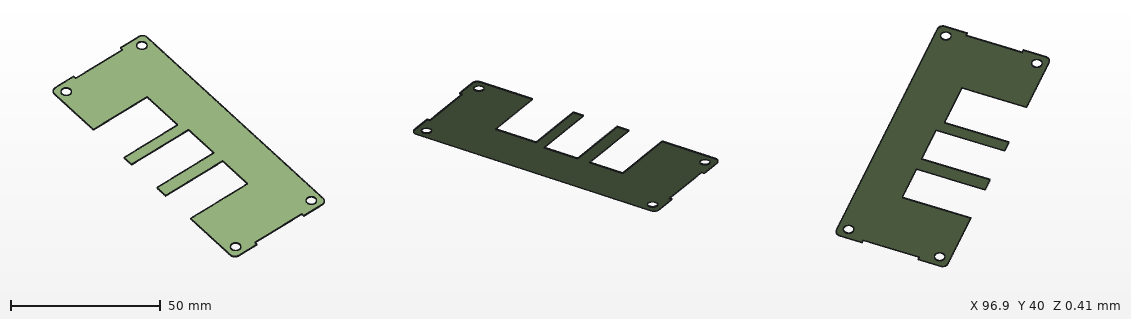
import cadquery as cq

length = 96.9
width = 40.0
thickness = 0.41
corner_radius = 1.9

hole_diameter = 3.5
hole_inset = 3.7

relief_depth = 1.1
relief_length = 20.2

wide_cutout = (22.6, 16.2, 23.2)
middle_cutout = (42.7, 13.4, 24.6)
right_cutout = (60.8, 13.2, 24.6)


def make_plate():
    plate = cq.Workplane("XY").box(length, width, thickness)
    return plate.edges("|Z").fillet(corner_radius)


def drill_mounting_holes(plate):
    return (
        plate.faces(">Z")
        .workplane()
        .rect(length - 2 * hole_inset, width - 2 * hole_inset, forConstruction=True)
        .vertices()
        .hole(hole_diameter)
    )


def cut_side_reliefs(plate):
    cutters = (
        cq.Workplane("XY")
        .pushPoints([(-length / 2, 0), (length / 2, 0)])
        .box(2 * relief_depth, relief_length, 2 * thickness)
    )
    return plate.cut(cutters)


def cut_front_opening(plate, left, opening_width, depth):
    cutter = (
        cq.Workplane("XY")
        .center(-length / 2 + left + opening_width / 2, -width / 2)
        .box(opening_width, 2 * depth, 2 * thickness)
    )
    return plate.cut(cutter)


result = make_plate()
result = drill_mounting_holes(result)
result = cut_side_reliefs(result)
for cutout in (wide_cutout, middle_cutout, right_cutout):
    result = cut_front_opening(result, *cutout)